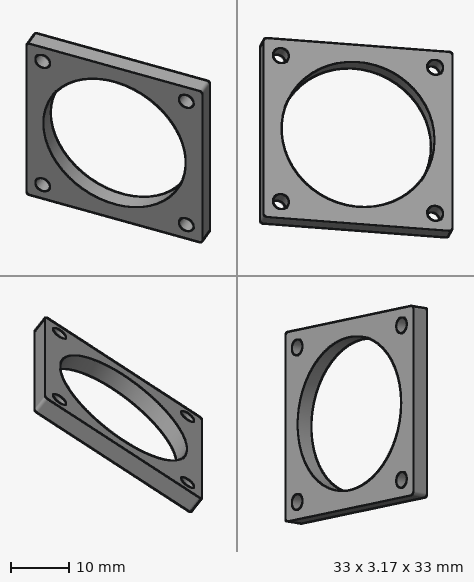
import cadquery as cq

side = 33.02
thickness = 3.175
corner_radius = 0.635
bore_diameter = 26.67
mount_hole_diameter = 2.74
mount_hole_spacing = 26.92


def make_plate():
    """Square plate with rounded corners along its thickness."""
    plate = cq.Workplane("XY").box(side, thickness, side)
    return plate.edges("|Y").fillet(corner_radius)


def cut_bore(plate):
    """Large central opening through the thickness."""
    return plate.faces("<Y").workplane(centerOption="CenterOfBoundBox").hole(bore_diameter)


def cut_mount_holes(plate):
    """Four through holes on a square pattern, one near each corner."""
    return (
        plate.faces("<Y")
        .workplane(centerOption="CenterOfBoundBox")
        .rarray(mount_hole_spacing, mount_hole_spacing, 2, 2)
        .hole(mount_hole_diameter)
    )


result = cut_mount_holes(cut_bore(make_plate()))